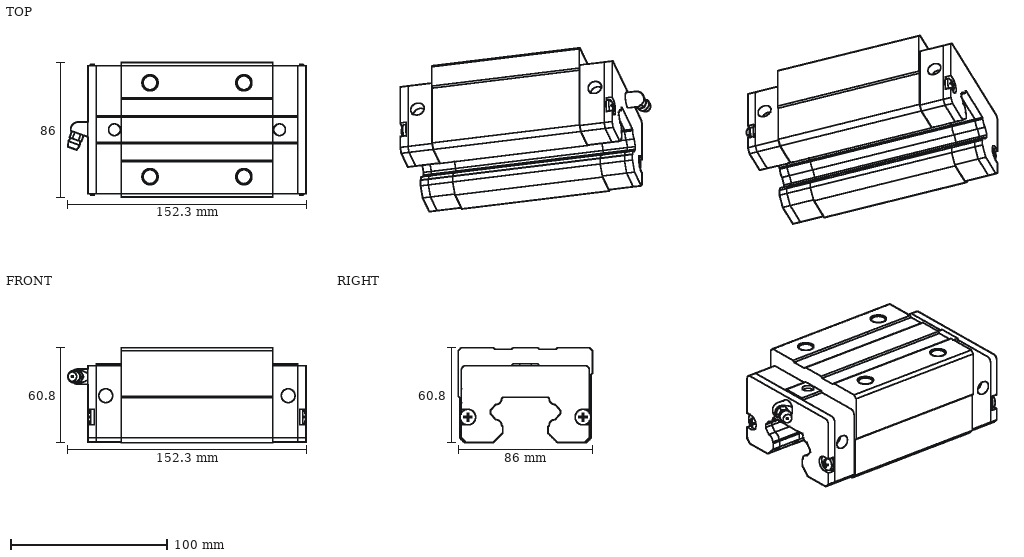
import cadquery as cq
import math


block_length = 97.0
block_height = 60.8
block_half_width = 43.0
cap_length = 16.0
seal_length = 5.2
cap_end_x = block_length / 2 + cap_length
seal_face_x = cap_end_x + seal_length

top_chamfer = 2.0
side_step = 1.0
step_z_plus_y = 44.6
step_z_minus_y = 29.8
lower_half_width = block_half_width - side_step
bottom_chamfer = 3.1
groove_depth = 1.0
groove_inner_y = 8.9
groove_outer_y = 19.4

opening_center_z = 19.65
opening_top_z = 29.0
mouth_half_width = 14.4
mouth_chamfer = 6.2
shoulder_chamfer = 0.7
shoulder_half_width = mouth_half_width + shoulder_chamfer
race_radius = 3.9
race_center_y = shoulder_half_width + race_radius
race_center_rise = opening_top_z - shoulder_chamfer - opening_center_z
web_half_width = 22.3
web_half_height = 1.0
flank_end_rise = race_center_rise - race_radius

mount_spacing = 60.0
mount_hole_diameter = 8.8
mount_rim_diameter = 10.3
mount_hole_depth = 16.0
drill_point_angle = 118.0

cap_half_width = 40.95
cap_bottom_z = 0.5
cap_top_z = 49.4
cap_corner_radius = 3.0
cap_bottom_chamfer = 2.8
ridge_height = groove_depth
ridge_top_half_width = groove_inner_y - ridge_height
port_diameter = 7.5
port_depth = 2.0
port_offset = 4.3
side_hole_diameter = 8.8
side_hole_depth = 7.0
side_hole_offset = 9.8
side_hole_z = 30.1

screw_y = 36.8
screw_z = 16.4
head_radius = 5.0
head_rim_height = 1.95
head_dome_height = 1.95
head_height = head_rim_height + head_dome_height
drive_length = 5.2
drive_width = 0.9
drive_depth = 1.5

nipple_z = 42.3
elbow_radius = 5.0
elbow_reach = 6.1
nozzle_reach = 5.7
nozzle_angle = 20.0
hex_start = 2.4
hex_end = 6.7
hex_across_flats = 7.0
neck_radius = 3.2
bulge_radius = 4.0
bulge_start = 9.2
tip_radius = 3.0
tip_end = 12.7
grease_hole_diameter = 1.1
grease_hole_depth = 2.0


def prism_along_x(profile, start_x, length):
    """Extrude a closed profile drawn in Y and Z along +X."""
    return profile.extrude(length).translate((start_x, 0, 0))


def rail_opening(start_x, length):
    """Passage for the rail: chamfered mouth, convex ball races and a web groove on each side."""
    race_mid_y = race_center_y - race_radius * math.cos(math.pi / 4)
    race_mid_rise = race_center_rise - race_radius * math.sin(math.pi / 4)
    shoulder_rise = race_center_rise
    mouth_top_z = opening_center_z - shoulder_rise - shoulder_chamfer

    def at(y, rise):
        return (y, opening_center_z + rise)

    half = (
        cq.Workplane("YZ")
        .moveTo(0, 0)
        .lineTo(mouth_half_width + mouth_chamfer, 0)
        .lineTo(mouth_half_width, mouth_chamfer)
        .lineTo(mouth_half_width, mouth_top_z)
        .lineTo(*at(shoulder_half_width, -shoulder_rise))
        .threePointArc(at(race_mid_y, -race_mid_rise), at(race_center_y, -flank_end_rise))
        .lineTo(*at(web_half_width, -web_half_height))
        .lineTo(*at(web_half_width, web_half_height))
        .lineTo(*at(race_center_y, flank_end_rise))
        .threePointArc(at(race_mid_y, race_mid_rise), at(shoulder_half_width, shoulder_rise))
        .lineTo(mouth_half_width, opening_top_z)
        .lineTo(0, opening_top_z)
        .close()
    )
    solid = prism_along_x(half, start_x, length)
    return solid.union(solid.mirror("XZ"))


def mount_hole_cutter():
    """Blind drilled hole with a chamfered rim and a conical bottom."""
    hole_radius = mount_hole_diameter / 2
    rim_radius = mount_rim_diameter / 2
    rim_depth = rim_radius - hole_radius
    point_depth = hole_radius / math.tan(math.radians(drill_point_angle / 2))
    return (
        cq.Workplane("XZ")
        .moveTo(0, 0)
        .lineTo(rim_radius, 0)
        .lineTo(hole_radius, -rim_depth)
        .lineTo(hole_radius, -mount_hole_depth)
        .lineTo(0, -mount_hole_depth - point_depth)
        .close()
        .revolve(360, (0, 0, 0), (0, 1, 0))
        .translate((0, 0, block_height))
    )


def make_block():
    groove_floor_z = block_height - groove_depth
    section = cq.Workplane("YZ").polyline([
        (-lower_half_width + bottom_chamfer, 0),
        (lower_half_width - bottom_chamfer, 0),
        (lower_half_width, bottom_chamfer),
        (lower_half_width, step_z_plus_y - side_step),
        (block_half_width, step_z_plus_y),
        (block_half_width, block_height - top_chamfer),
        (block_half_width - top_chamfer, block_height),
        (groove_outer_y + groove_depth, block_height),
        (groove_outer_y, groove_floor_z),
        (groove_inner_y, groove_floor_z),
        (groove_inner_y - groove_depth, block_height),
        (-groove_inner_y + groove_depth, block_height),
        (-groove_inner_y, groove_floor_z),
        (-groove_outer_y, groove_floor_z),
        (-groove_outer_y - groove_depth, block_height),
        (-block_half_width + top_chamfer, block_height),
        (-block_half_width, block_height - top_chamfer),
        (-block_half_width, step_z_minus_y),
        (-lower_half_width, step_z_minus_y - side_step),
        (-lower_half_width, bottom_chamfer),
    ]).close()
    body = prism_along_x(section, -block_length / 2, block_length)
    body = body.cut(rail_opening(-block_length / 2, block_length))
    hole = mount_hole_cutter()
    for x in (-mount_spacing / 2, mount_spacing / 2):
        for y in (-mount_spacing / 2, mount_spacing / 2):
            body = body.cut(hole.translate((x, y, 0)))
    return body


def end_plate(start_x, length):
    """Plate with the outline shared by caps and seals, open for the rail."""
    plate = (
        cq.Workplane("XY")
        .box(length, 2 * cap_half_width, cap_top_z - cap_bottom_z, centered=(False, True, False))
        .translate((start_x, 0, cap_bottom_z))
        .edges("|X and >Z")
        .fillet(cap_corner_radius)
        .edges("|X and <Z")
        .chamfer(cap_bottom_chamfer)
    )
    return plate.cut(rail_opening(start_x, length))


def make_cap():
    """End cap on the -X side of the block."""
    cap = end_plate(-cap_end_x, cap_length)
    ridge = cq.Workplane("YZ").polyline([
        (-groove_inner_y, cap_top_z),
        (groove_inner_y, cap_top_z),
        (ridge_top_half_width, cap_top_z + ridge_height),
        (-ridge_top_half_width, cap_top_z + ridge_height),
    ]).close()
    cap = cap.union(prism_along_x(ridge, -cap_end_x, cap_length))

    block_face_x = -block_length / 2
    port = (
        cq.Workplane("XY")
        .circle(port_diameter / 2)
        .extrude(-port_depth)
        .translate((block_face_x - port_offset, 0, cap_top_z + ridge_height))
    )
    side_hole = (
        cq.Workplane("XZ")
        .circle(side_hole_diameter / 2)
        .extrude(-side_hole_depth)
        .translate((block_face_x - side_hole_offset, -cap_half_width, side_hole_z))
    )
    return cap.cut(port).cut(side_hole).cut(side_hole.mirror("XZ"))


def make_seal():
    """End seal on the -X side, with screw recesses that run out through the sides."""
    seal = end_plate(-seal_face_x, seal_length)
    for side in (-1, 1):
        round_end = (
            cq.Workplane("YZ")
            .center(side * screw_y, screw_z)
            .circle(head_radius)
            .extrude(head_height)
        )
        run_out = (
            cq.Workplane("YZ")
            .center(side * (screw_y + head_radius / 2), screw_z)
            .rect(head_radius, 2 * head_radius)
            .extrude(head_height)
        )
        seal = seal.cut(round_end.union(run_out).translate((-seal_face_x, 0, 0)))
    return seal


def make_screw(side):
    """Domed cross-drive screw head in a -X seal recess; the dome crown is flush with the seal face."""
    dome_sphere_radius = (head_radius**2 + head_dome_height**2) / (2 * head_dome_height)
    half_dome_angle = math.asin(head_radius / dome_sphere_radius) / 2
    dome_mid = (
        dome_sphere_radius * (1 - math.cos(half_dome_angle)),
        dome_sphere_radius * math.sin(half_dome_angle),
    )
    head = (
        cq.Workplane("XY")
        .moveTo(0, 0)
        .threePointArc(dome_mid, (head_dome_height, head_radius))
        .lineTo(head_height, head_radius)
        .lineTo(head_height, 0)
        .close()
        .revolve(360, (0, 0, 0), (1, 0, 0))
    )
    for size in ((drive_length, drive_width), (drive_width, drive_length)):
        head = head.cut(cq.Workplane("YZ").rect(*size).extrude(drive_depth))
    return head.translate((-seal_face_x, side * screw_y, screw_z))


def make_nipple():
    """Grease nipple: elbow with a spherical end, a spot face, and a hexagonal angled nozzle."""
    elbow = (
        cq.Workplane("XY")
        .moveTo(0, 0)
        .lineTo(0, elbow_radius)
        .lineTo(-elbow_reach, elbow_radius)
        .radiusArc((-elbow_reach - elbow_radius, 0), -elbow_radius)
        .close()
        .revolve(360, (0, 0, 0), (1, 0, 0))
    )

    def aim(shape):
        return shape.rotate((0, 0, 0), (0, 0, 1), -nozzle_angle).translate((-nozzle_reach, 0, 0))

    spot_face_size = 6 * elbow_radius
    beyond_spot_face = (
        cq.Workplane("XZ", origin=(0, -hex_start, 0))
        .rect(spot_face_size, spot_face_size)
        .extrude(spot_face_size)
    )
    elbow = elbow.cut(aim(beyond_spot_face))

    hex_across_corners = hex_across_flats / math.cos(math.pi / 6)
    hexagon = (
        cq.Workplane("XZ", origin=(0, -hex_start, 0))
        .polygon(6, hex_across_corners)
        .extrude(hex_end - hex_start)
    )
    spout = (
        cq.Workplane("XY")
        .polyline([
            (0, -hex_end),
            (neck_radius, -hex_end),
            (bulge_radius, -bulge_start),
            (tip_radius, -tip_end),
            (0, -tip_end),
        ])
        .close()
        .revolve(360, (0, 0, 0), (0, 1, 0))
    )
    grease_hole = (
        cq.Workplane("XZ", origin=(0, -tip_end, 0))
        .circle(grease_hole_diameter / 2)
        .extrude(-grease_hole_depth)
    )
    nozzle = hexagon.union(spout).cut(grease_hole)
    return elbow.union(aim(nozzle)).translate((-seal_face_x, 0, nipple_z))


block = make_block()
caps = [make_cap(), make_cap().mirror("YZ")]
seals = [make_seal(), make_seal().mirror("YZ")]
screws = []
for side in (-1, 1):
    screws.append(make_screw(side))
    screws.append(make_screw(side).mirror("YZ"))
nipple = make_nipple()

bodies = [block, *caps, *seals, *screws, nipple]
result = cq.Compound.makeCompound([body.val() for body in bodies])